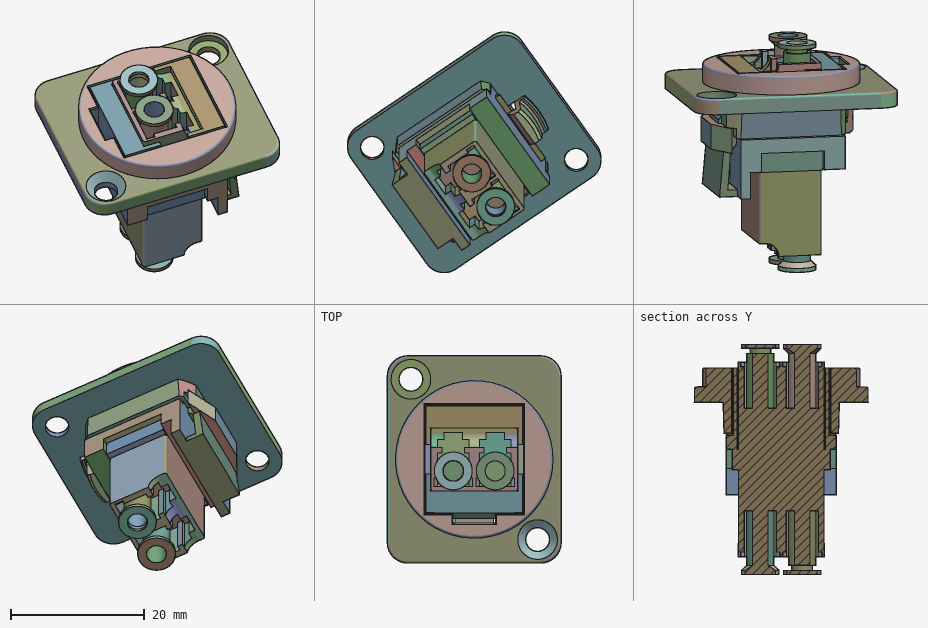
import cadquery as cq
import math


FLANGE_X = 26.0
FLANGE_Y = 31.0
FLANGE_TOP = 2.35
FLANGE_CORNER_R = 3.1
BOSS_R = 11.75
BOSS_TOP = 5.13
EDGE_R = 0.3

SCREW_X = 9.45
SCREW_Y = 11.97
SCREW_D = 3.5
SCREW_HEAD_D = 5.9
SCREW_HEAD_DEPTH = (SCREW_HEAD_D - SCREW_D) / 2

OPENING_X = 14.72
OPENING_Y = 16.3
MOUTH_CHAMFER = 0.17
NOTCH_X = 6.3
NOTCH_END_Y = -9.53
WALL_DEPTH = 4.65
WALL_HALF_X = 8.7
WALL_TIP_HALF_X = 8.55
WALL_SIDE_Y = -7.2
WALL_END_HALF_X = 7.6
WALL_REAR_Y = 9.85
WALL_CORNER_Y = 8.6

KEYSTONE_HALF_X = 7.2
KEYSTONE_HALF_Y = 16.0 / 2
SHOULDER_HALF_X = 8.22
SHOULDER_TOP = -4.9
SHOULDER_BOTTOM = -9.87
LEG_INNER_Y = 6.55
LEG_BOTTOM = -13.83
SIDE_GROOVE_HALF_Y = 2.2
CATCH_Z = -3.15
CATCH_HALF_X = 6.0
CATCH_TOP = -1.58
CATCH_Y = -8.85

LATCH_HALF_X = 3.13
LATCH_TIP_HALF_X = 2.72
LATCH_DEPTH = 5.45
LATCH_R = 10.75
LATCH_LIP_BOTTOM = -1.0
LATCH_LIP_CHAMFER = 0.28
LATCH_ROOT_CHAMFER = 0.38
LATCH_END_CHAMFER = 0.48
LATCH_TOE_Y = -9.1
LATCH_TOE_HEIGHT = 0.35

ARM_OUTER_Y = 10.15
ARM_OUTER_FOOT_Y = 10.75
ARM_INNER_Y = 9.08
ARM_INNER_FOOT_Y = 9.5
HOOK_SEAT_Y = 8.55
HOOK_TIP_Y = 8.2
HOOK_TIP_TOP = -3.8
HOOK_TIP_BOTTOM = -5.88
TAB_BOTTOM = -6.9
TAB_ROOT_Y = 9.3
TAB_TIP_Y = 11.52
TAB_ROOT_HALF_X = 8.1
TAB_TIP_HALF_X = 3.45
BEAD_HALF_X = 3.1
BEAD_Y = 10.3
BEAD_TOP = -2.15
RIB_HALF_X = 0.72
RIB_TOP = -8.4
FOOT_TOP = -12.8

ADAPTER_TOP = 6.02
OVERALL_LENGTH = 34.4
CAP_TOP = 8.67
ADAPTER_MID_Z = CAP_TOP - OVERALL_LENGTH / 2
ADAPTER_HALF_X = 6.45
ADAPTER_HALF_Y = 9.45 / 2
ADAPTER_EDGE_R = 0.3
ADAPTER_GAP = 0.1
RELIEF_Y = 1.8
RELIEF_R = 2.0
COLLAR_HALF_X = 7.33
COLLAR_TOP = -7.02
COLLAR_BOTTOM = -10.08

PORT_X = 3.13
PORT_DEPTH = 6.88
PORT_HALF_X = 2.37
PORT_BOTTOM_Y = -4.02
PORT_TOP_Y = 3.0
PORT_KEY_HALF_X = 1.38
PORT_KEY_TOP_Y = 4.02
PORT_LIP_HALF_X = 3.35 / 2
PORT_LIP_BOTTOM_Y = 0.95
PORT_POCKET_HALF_X = 2.9
PORT_POCKET_TOP_Y = -2.75
PORT_POCKET_DEPTH = 0.7

CAP_Y = -1.72
CAP_R = 2.82
CAP_RIM_BOTTOM = 8.05
CAP_STEM_TOP = 7.3
CAP_STEM_R = 2.03
CAP_BORE_R = 3.0 / 2
CAP_NECK_WALL = 0.07
CAP_BORE_DEPTH = 5.15


def block(x0, x1, y0, y1, z0, z1):
    """Axis-aligned box between two opposite corners."""
    return cq.Workplane("XY").box(x1 - x0, y1 - y0, z1 - z0, centered=False).translate((x0, y0, z0))


def centred_block(half_x, y0, y1, z0, z1):
    """Box that is symmetric about X = 0."""
    return block(-half_x, half_x, y0, y1, z0, z1)


def side_profile(points, half_x):
    """Closed (Y, Z) outline extruded symmetrically along X."""
    return cq.Workplane("YZ").polyline(points).close().extrude(half_x, both=True)


def tapered_envelope(top_half, tip_half, depth):
    """Block below Z = 0 whose X width narrows with depth."""
    outline = [(-top_half, 0), (top_half, 0), (tip_half, -depth), (-tip_half, -depth)]
    return cq.Workplane("XZ").polyline(outline).close().extrude(FLANGE_Y, both=True)


def flared_cut(half_x, y0, y1):
    """Rectangular cut through boss, flange and walls, chamfered at the boss face."""
    cut = centred_block(half_x, y0, y1, -WALL_DEPTH, BOSS_TOP)
    mouth = (
        cq.Workplane("XY", origin=(0, (y0 + y1) / 2, BOSS_TOP))
        .rect(2 * (half_x + MOUTH_CHAMFER), y1 - y0 + 2 * MOUTH_CHAMFER)
        .extrude(-MOUTH_CHAMFER, taper=45)
    )
    return cut.union(mouth)


def make_housing_walls():
    """U-shaped wall behind the flange, open towards -Y, with rounded rear corners."""
    corner_start_y = math.sqrt(BOSS_R**2 - WALL_HALF_X**2)
    corner_end_x = math.sqrt(BOSS_R**2 - WALL_REAR_Y**2)
    mid_angle = (math.atan2(corner_start_y, WALL_HALF_X) + math.atan2(WALL_REAR_Y, corner_end_x)) / 2
    mid_x = BOSS_R * math.cos(mid_angle)
    mid_y = BOSS_R * math.sin(mid_angle)
    walls = (
        cq.Workplane("XY")
        .moveTo(-WALL_END_HALF_X, -OPENING_Y / 2)
        .lineTo(WALL_END_HALF_X, -OPENING_Y / 2)
        .lineTo(WALL_HALF_X, WALL_SIDE_Y)
        .lineTo(WALL_HALF_X, corner_start_y)
        .threePointArc((mid_x, mid_y), (corner_end_x, WALL_REAR_Y))
        .lineTo(-corner_end_x, WALL_REAR_Y)
        .threePointArc((-mid_x, mid_y), (-WALL_HALF_X, corner_start_y))
        .lineTo(-WALL_HALF_X, WALL_SIDE_Y)
        .close()
        .extrude(-WALL_DEPTH)
        .intersect(tapered_envelope(WALL_HALF_X, WALL_TIP_HALF_X, WALL_DEPTH))
    )
    walls = walls.cut(centred_block(WALL_HALF_X, WALL_CORNER_Y, WALL_REAR_Y, -WALL_DEPTH, CATCH_Z))
    return walls.cut(centred_block(CATCH_HALF_X, 0, WALL_REAR_Y, -WALL_DEPTH, CATCH_Z))


def make_latch():
    """Hook below the flange notch, its outer face concentric with the boss."""
    tip_y = -OPENING_Y / 2
    inner = [
        (NOTCH_END_Y, 0),
        (NOTCH_END_Y, CATCH_Z),
        (tip_y, CATCH_Z),
        (tip_y, CATCH_Z - LATCH_TOE_HEIGHT),
        (LATCH_TOE_Y, -LATCH_DEPTH),
        (-BOSS_R, -LATCH_DEPTH),
        (-BOSS_R, 0),
    ]
    outer = (
        cq.Workplane("XZ")
        .polyline([
            (0, 0),
            (BOSS_R, 0),
            (BOSS_R, LATCH_LIP_BOTTOM + LATCH_LIP_CHAMFER),
            (BOSS_R - LATCH_LIP_CHAMFER, LATCH_LIP_BOTTOM),
            (LATCH_R + LATCH_ROOT_CHAMFER, LATCH_LIP_BOTTOM),
            (LATCH_R, LATCH_LIP_BOTTOM - LATCH_ROOT_CHAMFER),
            (LATCH_R, LATCH_END_CHAMFER - LATCH_DEPTH),
            (LATCH_R - LATCH_END_CHAMFER, -LATCH_DEPTH),
            (0, -LATCH_DEPTH),
        ])
        .close()
        .revolve(360, (0, 0, 0), (0, 1, 0))
    )
    envelope = tapered_envelope(LATCH_HALF_X, LATCH_TIP_HALF_X, LATCH_DEPTH)
    return side_profile(inner, BOSS_R).intersect(outer).intersect(envelope)


def make_panel():
    """Flange, boss and housing walls with the keystone opening, screw holes and latch."""
    flange = (
        cq.Workplane("XY")
        .rect(FLANGE_X, FLANGE_Y)
        .extrude(FLANGE_TOP)
        .edges("|Z")
        .fillet(FLANGE_CORNER_R)
        .faces(">Z")
        .edges()
        .fillet(EDGE_R)
    )
    boss = cq.Workplane("XY").circle(BOSS_R).extrude(BOSS_TOP).faces(">Z").edges().fillet(EDGE_R)
    panel = flange.union(boss).union(make_housing_walls())
    panel = panel.cut(flared_cut(OPENING_X / 2, -OPENING_Y / 2, OPENING_Y / 2))
    panel = panel.cut(flared_cut(NOTCH_X / 2, NOTCH_END_Y, 0))
    holes = cq.Workplane("XY").pushPoints([(-SCREW_X, SCREW_Y), (SCREW_X, -SCREW_Y)])
    panel = panel.cut(holes.circle(SCREW_D / 2).extrude(FLANGE_TOP))
    top = cq.Workplane("XY").workplane(offset=FLANGE_TOP)
    counterbore = top.center(-SCREW_X, SCREW_Y).circle(SCREW_HEAD_D / 2).extrude(-SCREW_HEAD_DEPTH)
    countersink = cq.Workplane(
        cq.Solid.makeCone(
            SCREW_D / 2, SCREW_HEAD_D / 2, SCREW_HEAD_DEPTH,
            pnt=cq.Vector(SCREW_X, -SCREW_Y, FLANGE_TOP - SCREW_HEAD_DEPTH),
        )
    )
    return panel.cut(counterbore).cut(countersink).union(make_latch())


def make_keystone():
    """Stepped block with a rear leg, a latch wedge and the adapter opening."""
    body = centred_block(KEYSTONE_HALF_X, -KEYSTONE_HALF_Y, KEYSTONE_HALF_Y, SHOULDER_TOP, BOSS_TOP)
    body = body.union(
        centred_block(SHOULDER_HALF_X, -KEYSTONE_HALF_Y, KEYSTONE_HALF_Y, SHOULDER_BOTTOM, SHOULDER_TOP)
    )
    body = body.union(
        centred_block(SHOULDER_HALF_X, LEG_INNER_Y, KEYSTONE_HALF_Y, LEG_BOTTOM, SHOULDER_BOTTOM)
    )
    wedge = [(-KEYSTONE_HALF_Y, CATCH_TOP), (CATCH_Y, CATCH_Z), (-KEYSTONE_HALF_Y, CATCH_Z)]
    body = body.union(side_profile(wedge, CATCH_HALF_X))
    opening_half_x = ADAPTER_HALF_X + ADAPTER_GAP
    body = body.cut(
        centred_block(opening_half_x, -ADAPTER_HALF_Y, ADAPTER_HALF_Y, SHOULDER_BOTTOM, BOSS_TOP)
    )
    recess_half_y = ADAPTER_HALF_Y + ADAPTER_GAP
    body = body.cut(
        centred_block(SHOULDER_HALF_X, -recess_half_y, recess_half_y, SHOULDER_BOTTOM, COLLAR_TOP)
    )
    return body.cut(
        centred_block(KEYSTONE_HALF_X, -SIDE_GROOVE_HALF_Y, SIDE_GROOVE_HALF_Y, SHOULDER_TOP, BOSS_TOP)
    )


def make_lever():
    """Spring arm rising from the keystone leg, hooked under the rear housing wall."""
    arm = [
        (KEYSTONE_HALF_Y, LEG_BOTTOM),
        (ARM_OUTER_FOOT_Y, LEG_BOTTOM),
        (ARM_OUTER_Y, TAB_BOTTOM),
        (ARM_OUTER_Y, CATCH_Z),
        (HOOK_SEAT_Y, CATCH_Z),
        (HOOK_TIP_Y, HOOK_TIP_TOP),
        (HOOK_TIP_Y, HOOK_TIP_BOTTOM),
        (ARM_INNER_Y, TAB_BOTTOM),
        (ARM_INNER_FOOT_Y, FOOT_TOP),
        (KEYSTONE_HALF_Y, FOOT_TOP),
    ]
    lever = side_profile(arm, CATCH_HALF_X)
    tab = (
        cq.Workplane("XY", origin=(0, 0, TAB_BOTTOM))
        .polyline([
            (-TAB_ROOT_HALF_X, TAB_ROOT_Y),
            (TAB_ROOT_HALF_X, TAB_ROOT_Y),
            (TAB_TIP_HALF_X, TAB_TIP_Y),
            (-TAB_TIP_HALF_X, TAB_TIP_Y),
        ])
        .close()
        .extrude(CATCH_Z - TAB_BOTTOM)
    )
    bead_depth = BEAD_Y - WALL_REAR_Y
    bead = [
        (WALL_REAR_Y, CATCH_Z),
        (BEAD_Y, CATCH_Z),
        (BEAD_Y, BEAD_TOP - bead_depth),
        (WALL_REAR_Y, BEAD_TOP),
    ]
    rib = centred_block(RIB_HALF_X, KEYSTONE_HALF_Y, TAB_ROOT_Y, FOOT_TOP, RIB_TOP)
    return lever.union(tab).union(side_profile(bead, BEAD_HALF_X)).union(rib)


def make_port(centre_x):
    """Connector socket cut into the top end of the adapter."""
    floor_z = ADAPTER_TOP - PORT_DEPTH

    def cut(half_x, y0, y1, z0):
        return block(centre_x - half_x, centre_x + half_x, y0, y1, z0, ADAPTER_TOP)

    port = cut(PORT_HALF_X, PORT_BOTTOM_Y, PORT_LIP_BOTTOM_Y, floor_z)
    port = port.union(cut(PORT_LIP_HALF_X, PORT_LIP_BOTTOM_Y, RELIEF_Y, floor_z))
    port = port.union(cut(PORT_HALF_X, RELIEF_Y, PORT_TOP_Y, floor_z))
    port = port.union(cut(PORT_KEY_HALF_X, PORT_TOP_Y, PORT_KEY_TOP_Y, floor_z))
    pocket_z = ADAPTER_TOP - PORT_POCKET_DEPTH
    return port.union(cut(PORT_POCKET_HALF_X, PORT_BOTTOM_Y, PORT_POCKET_TOP_Y, pocket_z))


def make_cap(centre_x, flared):
    """Dust cap with a blind bore; the rim joins the stem by a cone or by a thin neck."""
    stem_bottom = ADAPTER_TOP - PORT_DEPTH
    bore_z = CAP_TOP - CAP_BORE_DEPTH
    outline = [
        (0, stem_bottom),
        (CAP_STEM_R, stem_bottom),
        (CAP_STEM_R, CAP_STEM_TOP),
    ]
    if not flared:
        neck_r = CAP_BORE_R + CAP_NECK_WALL
        outline += [(neck_r, CAP_STEM_TOP), (neck_r, CAP_RIM_BOTTOM)]
    outline += [
        (CAP_R, CAP_RIM_BOTTOM),
        (CAP_R, CAP_TOP),
        (CAP_BORE_R, CAP_TOP),
        (CAP_BORE_R, bore_z),
        (0, bore_z),
    ]
    cap = cq.Workplane("XZ").polyline(outline).close().revolve(360, (0, 0, 0), (0, 1, 0))
    return cap.translate((centre_x, CAP_Y, 0))


def make_adapter():
    """Upper half of the adapter, completed by its half-turn copy about the Y direction."""
    half = (
        centred_block(ADAPTER_HALF_X, -ADAPTER_HALF_Y, ADAPTER_HALF_Y, ADAPTER_MID_Z, ADAPTER_TOP)
        .edges("|Z")
        .fillet(ADAPTER_EDGE_R)
    )
    relief_z = ADAPTER_TOP - RELIEF_R
    arc_centre_y = RELIEF_Y + RELIEF_R
    diagonal = RELIEF_R * math.sqrt(0.5)
    relief = (
        cq.Workplane("YZ")
        .moveTo(RELIEF_Y, ADAPTER_TOP)
        .threePointArc((arc_centre_y - diagonal, ADAPTER_TOP - diagonal), (arc_centre_y, relief_z))
        .lineTo(ADAPTER_HALF_Y, relief_z)
        .lineTo(ADAPTER_HALF_Y, ADAPTER_TOP)
        .close()
        .extrude(ADAPTER_HALF_X, both=True)
    )
    half = half.cut(relief)
    for side in (-1, 1):
        half = half.cut(make_port(side * PORT_X))
        half = half.union(make_cap(side * PORT_X, flared=side > 0))
    turned = half.rotate((0, 0, ADAPTER_MID_Z), (0, 1, ADAPTER_MID_Z), 180)
    collar = centred_block(COLLAR_HALF_X, -ADAPTER_HALF_Y, ADAPTER_HALF_Y, COLLAR_BOTTOM, COLLAR_TOP)
    return half.union(turned).union(collar)


result = make_panel().union(make_keystone()).union(make_lever()).union(make_adapter())